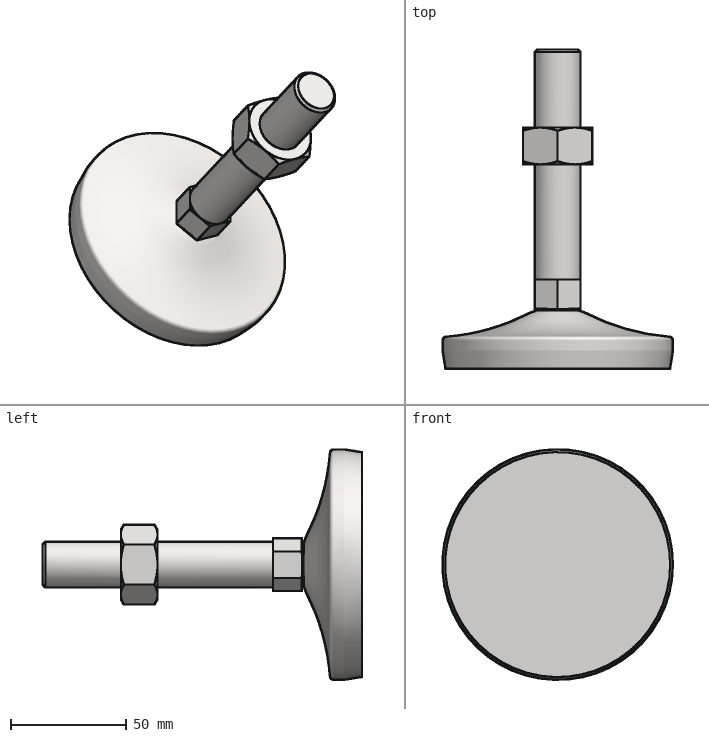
import cadquery as cq
import math

total_length = 138.5

foot_diameter = 100.0
sole_diameter = 97.5
rim_start = 7.8
rim_end = 12.2
edge_radius = 1.8
crown_height = 25.3
crown_diameter = 18.5
crown_bevel_diameter = 23.8
crown_bevel_height = 1.0
flank_middle_radius = 29.8
flank_middle_height = 17.3

stud_diameter = 20.0
stud_chamfer = 1.2
neck_diameter = 10.0
wrench_hex_flats = stud_diameter
wrench_hex_start = 26.0
wrench_hex_length = 12.6

nut_flats = 30.0
nut_start = 88.6
nut_length = 15.9
nut_face_diameter = 30.0
nut_chamfer_angle = 30.0


def plane_at(height):
    """Plane across the axis, facing -Y."""
    return cq.Workplane("XZ", origin=(0, height, 0))


def cylinder(diameter, start, length):
    return plane_at(start).circle(diameter / 2).extrude(-length)


def hexagon(flats, start, length):
    """Hexagonal prism with flats on the X sides and corners on Z."""
    corners = flats / math.cos(math.pi / 6)
    return plane_at(start).transformed(rotate=(0, 0, 30)).polygon(6, corners).extrude(-length)


def revolve_about_y(profile):
    return profile.close().revolve(360, (0, 0, 0), (0, 1, 0))


def make_foot():
    foot_radius = foot_diameter / 2
    rounding = edge_radius * math.sqrt(0.5)
    edge_center_radius = foot_radius - edge_radius
    profile = (
        cq.Workplane("XY")
        .lineTo(sole_diameter / 2, 0)
        .lineTo(foot_radius, rim_start)
        .lineTo(foot_radius, rim_end)
        .threePointArc(
            (edge_center_radius + rounding, rim_end + rounding),
            (edge_center_radius, rim_end + edge_radius),
        )
        .threePointArc(
            (flank_middle_radius, flank_middle_height),
            (crown_bevel_diameter / 2, crown_height - crown_bevel_height),
        )
        .lineTo(crown_diameter / 2, crown_height)
        .lineTo(0, crown_height)
    )
    return revolve_about_y(profile)


def make_stud():
    hex_end = wrench_hex_start + wrench_hex_length
    neck = cylinder(neck_diameter, crown_height, wrench_hex_start - crown_height)
    rod = cylinder(stud_diameter, hex_end, total_length - hex_end)
    rod = rod.faces(">Y").chamfer(stud_chamfer)
    return neck.union(hexagon(wrench_hex_flats, wrench_hex_start, wrench_hex_length)).union(rod)


def make_nut():
    nut_end = nut_start + nut_length
    face_radius = nut_face_diameter / 2
    corner_radius = nut_flats / math.sqrt(3)
    drop = (corner_radius - face_radius) * math.tan(math.radians(nut_chamfer_angle))
    envelope = (
        cq.Workplane("XY")
        .moveTo(0, nut_start)
        .lineTo(face_radius, nut_start)
        .lineTo(corner_radius, nut_start + drop)
        .lineTo(corner_radius, nut_end - drop)
        .lineTo(face_radius, nut_end)
        .lineTo(0, nut_end)
    )
    return hexagon(nut_flats, nut_start, nut_length).intersect(revolve_about_y(envelope))


result = make_foot().union(make_stud()).union(make_nut())